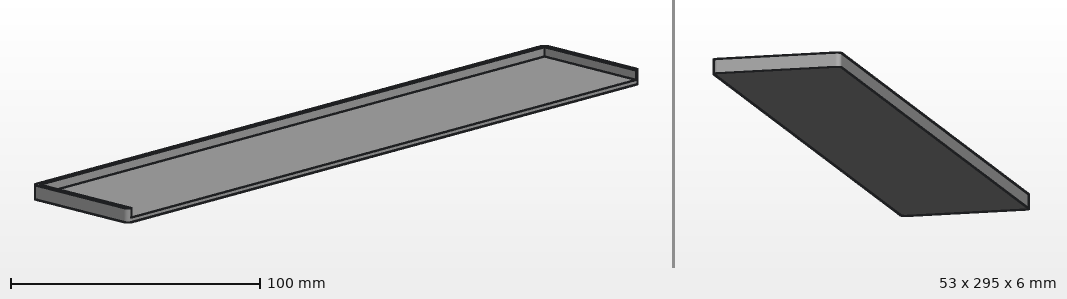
import cadquery as cq

width = 53.0
length = 295.0
height = 6.0

wall = 2.0
floor = 2.0
corner_radius = 2.0


def rounded_blank():
    """Solid block with its four upright corners rounded."""
    block = cq.Workplane("XY").box(width, length, height, centered=(True, True, False))
    return block.edges("|Z").fillet(corner_radius)


def tray_cavity():
    """Space above the floor, walled at -X and both ends and open at +X."""
    cavity_width = width - wall
    cavity_length = length - 2 * wall
    cavity_depth = height - floor
    return (
        cq.Workplane("XY")
        .box(cavity_width, cavity_length, cavity_depth, centered=(True, True, False))
        .translate((wall / 2, 0, floor))
    )


result = rounded_blank().cut(tray_cavity())